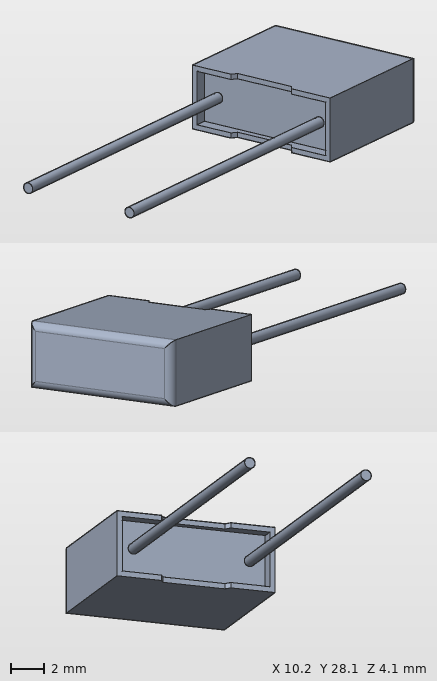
import cadquery as cq

case_width = 10.2
case_height = 4.1
total_length = 28.1
case_length = 9.08

wall = 0.35
back_fillet = 0.5
notch_depth = 0.35
notch_mouth_width = 4.5
notch_floor_width = 4.0

fill_recess = 0.8
lead_diameter = 0.67
lead_pitch = 7.5

cavity_width = case_width - 2 * wall
cavity_height = case_height - 2 * wall
cavity_depth = case_length - wall
lead_tip_y = case_length - total_length


def block(width, height, y_start, y_end):
    """Box centred on the Y axis, running from y_start to y_end."""
    length = y_end - y_start
    return cq.Workplane("XY").box(width, length, height).translate((0, y_start + length / 2, 0))


def make_mouth_notch():
    """Trapezoidal prism that relieves both broad walls at the mouth."""
    return (
        cq.Workplane("XY")
        .moveTo(-notch_mouth_width / 2, 0)
        .lineTo(-notch_floor_width / 2, notch_depth)
        .lineTo(notch_floor_width / 2, notch_depth)
        .lineTo(notch_mouth_width / 2, 0)
        .close()
        .extrude(case_height / 2, both=True)
    )


def make_case():
    """Open box with rounded edges around its closed end."""
    shell = block(case_width, case_height, 0, case_length).faces(">Y").edges().fillet(back_fillet)
    cavity = block(cavity_width, cavity_height, 0, cavity_depth)
    return shell.cut(cavity).cut(make_mouth_notch())


def make_filling():
    """Potting block that fills the cavity up to the recessed face."""
    return block(cavity_width, cavity_height, fill_recess, cavity_depth)


def make_lead(x):
    """Straight round wire standing on the filling face."""
    return (
        cq.Workplane("XZ", origin=(x, fill_recess, 0))
        .circle(lead_diameter / 2)
        .extrude(fill_recess - lead_tip_y)
    )


case = make_case()
filling = make_filling()
leads = [make_lead(side * lead_pitch / 2) for side in (-1, 1)]

result = cq.Compound.makeCompound([case.val(), filling.val(), *[lead.val() for lead in leads]])